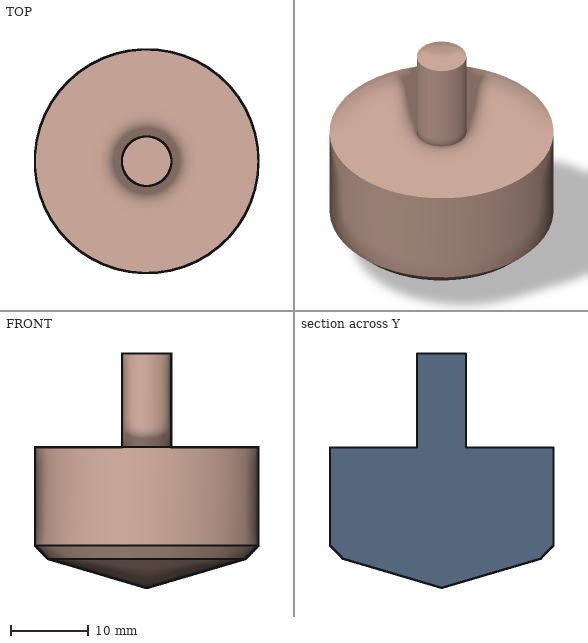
import cadquery as cq

total_height = 30.4
body_diameter = 29.0
stem_diameter = 6.4
stem_length = 12.13
chamfer_height = 1.75
chamfer_width = 1.7
tip_height = 3.77

body_radius = body_diameter / 2
stem_radius = stem_diameter / 2
tip_base_radius = body_radius - chamfer_width
body_bottom = tip_height + chamfer_height
body_top = total_height - stem_length

result = (
    cq.Workplane("XZ")
    .moveTo(0, 0)
    .lineTo(tip_base_radius, tip_height)
    .lineTo(body_radius, body_bottom)
    .lineTo(body_radius, body_top)
    .lineTo(stem_radius, body_top)
    .lineTo(stem_radius, total_height)
    .lineTo(0, total_height)
    .close()
    .revolve(360, (0, 0, 0), (0, 1, 0))
)